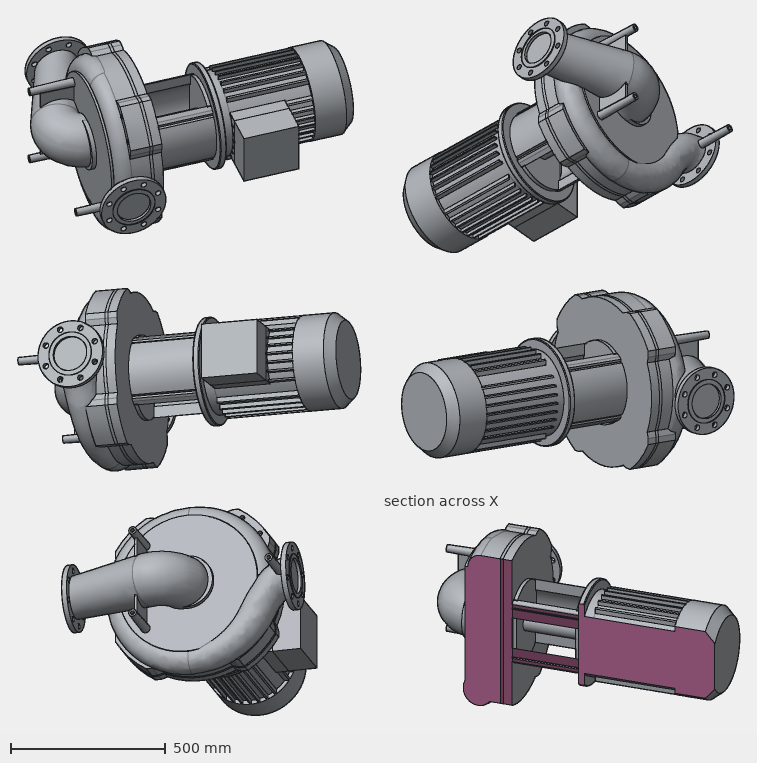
import cadquery as cq
import math


suction_face_x = -405.0
discharge_face_x = 355.0
flange_radius = 110.0
flange_thickness = 17.0
raised_face_radius = 72.0
raised_face_height = 3.0
flange_depth = flange_thickness + raised_face_height
port_radius = 57.0
port_depth = 10.0
pipe_end_depth = 12.0
bolt_circle_radius = 90.0
bolt_hole_radius = 9.0
bolt_count = 8

casing_radius = 278.0
cover_back_y = 128.0
cover_front_y = 97.0
casing_back_y = 87.0
rim_front_y = 21.0
round_radius = 47.0
round_start_radius = casing_radius - round_radius
shoulder_y = rim_front_y - round_radius
plate_face_y = -35.0
plate_edge_radius = 234.0

lug_radius = 302.0
lug_limit = 259.0
lug_shoulder = 135.0
lug_foot_far = 253.0
lug_foot_near = 115.0
lug_hole_radius = 8.0
lug_hole_circle = 282.0
lug_hole_spread = 8.6
lug_hole_depth = 20.0

spiral_end_radius = 246.86
spiral_end_y = 15.0
spiral_start_angle = 90.0
spiral_sections = 7
discharge_pipe_radius = 70.0
discharge_leave_angle = 58.0
discharge_handle = 60.0
discharge_arc_sections = 5
discharge_curve_sections = 4
discharge_growth_exponent = 1.1
discharge_drop_exponent = 0.6

suction_pipe_radius = 70.0
suction_pipe_start_y = -4.0
elbow_tube_radius = 87.5
elbow_bend_radius = 77.5
elbow_centre_x = -90.0
elbow_centre_y = -25.0
collar_radius = 88.0
collar_face_y = -50.0

foot_end_y = -186.0
foot_base_radius = 15.0
foot_end_radius = 12.5
foot_hole_radius = 6.0
foot_hole_depth = 20.0
suction_foot_x = -141.0
suction_foot_z = 142.0
discharge_foot_x = 317.0
rib_thickness = 8.0
rib_end_y = -148.0

lantern_motor_y = 357.0
lantern_disc_radius = 138.0
lantern_disc_thickness = 12.5
lantern_disc_half_width = 90.0
lantern_outer_radius = 140.0
lantern_inner_radius = 112.0
lantern_step_radius = 128.0
lantern_shell_half_height = 86.0
window_half_width = 83.0
edge_bar_outer_x = 105.0
edge_bar_ridge_x = 97.0
edge_bar_low_z = 90.0
edge_bar_outer_z = 97.0
edge_bar_ridge_z = 104.0
edge_bar_high_z = 113.0
shaft_radius = 31.0

motor_flange_radius = 176.0
motor_flange_thickness = 21.5
motor_flange_chamfer = 3.0
motor_body_radius = 142.5
cowl_radius = 155.5
fin_front_y = 410.5
fin_back_y = 689.5
cowl_cone_y = 795.5
motor_end_y = 828.64
motor_end_radius = 128.0
fin_thickness = 5.0
fin_pitch = 28.0
fins_each_side_of_centre = 3

box_inner_x = 106.5
box_joint_x = 154.0
box_outer_x = 249.0
box_front_y = 412.0
box_back_y = 600.0
box_half_height = 90.0

along_y = (0, 1, 0)


def cylinder_along_y(radius, y_start, y_end, x=0.0, z=0.0):
    length = y_end - y_start
    solid = cq.Solid.makeCylinder(radius, length, cq.Vector(x, y_start, z), cq.Vector(*along_y))
    return cq.Workplane(obj=solid)


def box_between(x_range, y_range, z_range):
    size = [high - low for low, high in (x_range, y_range, z_range)]
    corner = cq.Vector(x_range[0], y_range[0], z_range[0])
    return cq.Workplane(obj=cq.Solid.makeBox(*size, corner))


def circle_wire(radius, centre, start_direction, normal):
    """Circle that starts in start_direction, so that the sections of a loft stay untwisted."""
    plane = cq.Plane(centre, start_direction, normal)
    return cq.Workplane(plane).circle(radius).wires().val()


def blend(start, end, fraction):
    return start + (end - start) * fraction



def lug_slab(quadrant, y_start, y_end):
    """Diagonal bolting lug, drawn in the +X +Z quadrant and turned about the shaft axis."""
    arc_middle = lug_radius * math.sqrt(0.5)
    lug_tip = math.sqrt(lug_radius**2 - lug_limit**2)
    return (
        cq.Workplane("XZ", origin=(0, y_start, 0))
        .moveTo(0, 0)
        .lineTo(lug_foot_far, lug_foot_near)
        .lineTo(lug_limit, lug_shoulder)
        .lineTo(lug_limit, lug_tip)
        .threePointArc((arc_middle, arc_middle), (lug_tip, lug_limit))
        .lineTo(lug_shoulder, lug_limit)
        .lineTo(lug_foot_near, lug_foot_far)
        .close()
        .extrude(y_start - y_end)
        .rotate((0, 0, 0), (0, 1, 0), 90 * quadrant)
    )


def lugged_disc(y_start, y_end):
    disc = cylinder_along_y(casing_radius, y_start, y_end)
    for quadrant in range(4):
        disc = disc.union(lug_slab(quadrant, y_start, y_end))
    return disc



def volute_drum():
    drum = lugged_disc(rim_front_y, casing_back_y)
    arc_offset = round_radius * math.sqrt(0.5)
    rounded_front = (
        cq.Workplane("XY")
        .moveTo(0, rim_front_y)
        .lineTo(casing_radius, rim_front_y)
        .threePointArc(
            (round_start_radius + arc_offset, rim_front_y - arc_offset),
            (round_start_radius, shoulder_y),
        )
        .lineTo(0, shoulder_y)
        .close()
        .revolve(360, (0, 0, 0), (0, 1, 0))
    )
    front_plate = cylinder_along_y(plate_edge_radius, plate_face_y, shoulder_y)
    return drum.union(rounded_front).union(front_plate)


def spiral_bulge():
    """Tube that drifts outward from the top of the casing, round the -X side, to the bottom."""
    sections = []
    for index in range(spiral_sections):
        fraction = index / (spiral_sections - 1)
        angle = math.radians(spiral_start_angle + 180 * fraction)
        path_radius = blend(round_start_radius, spiral_end_radius, fraction)
        centre_y = blend(rim_front_y, spiral_end_y, fraction)
        centre = (path_radius * math.cos(angle), centre_y, path_radius * math.sin(angle))
        normal = (-math.sin(angle), 0, math.cos(angle))
        sections.append(circle_wire(round_radius, centre, along_y, normal))
    return cq.Workplane(obj=cq.Solid.makeLoft(sections))


def bezier_point(points, fraction):
    rest = 1 - fraction
    weights = (rest**3, 3 * rest**2 * fraction, 3 * rest * fraction**2, fraction**3)
    return tuple(sum(weight * point[axis] for weight, point in zip(weights, points)) for axis in (0, 1))


def discharge_path():
    """Section centres in X and Z with their tilt: an arc round the shaft, then a curve to the flange."""
    leave_angle = math.radians(discharge_leave_angle)
    stations = []
    for index in range(discharge_arc_sections):
        tilt = leave_angle * index / discharge_arc_sections
        centre = (spiral_end_radius * math.sin(tilt), -spiral_end_radius * math.cos(tilt))
        stations.append((centre, tilt))
    leave_x = spiral_end_radius * math.sin(leave_angle)
    leave_z = -spiral_end_radius * math.cos(leave_angle)
    flange_x = discharge_face_x - flange_depth
    control_points = (
        (leave_x, leave_z),
        (
            leave_x + discharge_handle * math.cos(leave_angle),
            leave_z + discharge_handle * math.sin(leave_angle),
        ),
        (flange_x - discharge_handle, 0),
        (flange_x, 0),
    )
    for index in range(discharge_curve_sections + 1):
        fraction = index / discharge_curve_sections
        stations.append((bezier_point(control_points, fraction), leave_angle * (1 - fraction)))
    stations.append(((discharge_face_x - pipe_end_depth, 0), 0))
    return stations


def discharge_pipe():
    """Widening tube from the bottom of the casing to the flange."""
    stations = discharge_path()
    sections = []
    for index, ((x, z), tilt) in enumerate(stations):
        fraction = index / (len(stations) - 1)
        centre = (x, blend(spiral_end_y, 0, fraction**discharge_drop_exponent), z)
        radius = blend(round_radius, discharge_pipe_radius, fraction**discharge_growth_exponent)
        normal = (math.cos(tilt), 0, math.sin(tilt))
        sections.append(circle_wire(radius, centre, along_y, normal))
    return cq.Workplane(obj=cq.Solid.makeLoft(sections))


def suction_elbow():
    """Conical pipe from the flange, tangent to a tight bend that turns into the casing."""
    start_x = suction_face_x + pipe_end_depth
    run_x = elbow_centre_x - start_x
    run_y = elbow_centre_y - suction_pipe_start_y
    distance = math.hypot(run_x, run_y)
    slope = math.asin(elbow_bend_radius / distance) - math.atan2(run_y, run_x)
    cone_length = math.sqrt(distance**2 - elbow_bend_radius**2)
    overrun = elbow_tube_radius * math.tan(slope)
    widening = (elbow_tube_radius - suction_pipe_radius) / cone_length
    direction = cq.Vector(math.cos(slope), -math.sin(slope), 0)
    cone = cq.Solid.makeCone(
        suction_pipe_radius - widening * overrun,
        elbow_tube_radius,
        cone_length + overrun,
        cq.Vector(start_x, suction_pipe_start_y, 0) - direction * overrun,
        direction,
    )
    kept_reach = 2 * distance
    kept_range = (-kept_reach, kept_reach)
    pipe = cq.Workplane(obj=cone).intersect(box_between((start_x, kept_reach), kept_range, kept_range))
    section_height = math.sqrt(elbow_tube_radius**2 - elbow_bend_radius**2)
    bend = (
        cq.Workplane("XZ", origin=(elbow_centre_x, elbow_centre_y, 0))
        .moveTo(0, -section_height)
        .threePointArc((elbow_bend_radius + elbow_tube_radius, 0), (0, section_height))
        .close()
        .revolve(90 + math.degrees(slope), (0, 1, 0), (0, 0, 0))
    )
    return pipe.union(bend)


def pipe_flange(face_x, inward):
    """Flange with raised face and bolt circle; inward is +1 or -1, from the face to the pump."""
    plate_plane = cq.Plane((face_x, 0, 0), along_y, (inward, 0, 0))
    plate = (
        cq.Workplane(plate_plane)
        .workplane(offset=raised_face_height)
        .circle(flange_radius)
        .extrude(flange_thickness)
    )
    raised_face = cq.Workplane(plate_plane).circle(raised_face_radius).extrude(flange_depth)
    bolt_holes = (
        cq.Workplane(plate_plane)
        .polarArray(bolt_circle_radius, 180 / bolt_count, 360, bolt_count)
        .circle(bolt_hole_radius)
        .extrude(flange_depth)
    )
    port = cq.Workplane(plate_plane).circle(port_radius).extrude(port_depth)
    return plate.union(raised_face).cut(bolt_holes).cut(port)


def drill_lug_holes(casing):
    """Two blind holes in the front face of the +X +Z lug."""
    for side in (-1, 1):
        angle = math.radians(45 + side * lug_hole_spread)
        x = lug_hole_circle * math.cos(angle)
        z = lug_hole_circle * math.sin(angle)
        hole = cylinder_along_y(lug_hole_radius, rim_front_y, rim_front_y + lug_hole_depth, x, z)
        casing = casing.cut(hole)
    return casing


def make_casing():
    casing = drill_lug_holes(volute_drum())
    rib = box_between(
        (suction_foot_x - rib_thickness / 2, suction_foot_x + rib_thickness / 2),
        (rib_end_y, plate_face_y),
        (-suction_foot_z, suction_foot_z),
    )
    collar = cylinder_along_y(collar_radius, collar_face_y, plate_face_y)
    return (
        casing.union(spiral_bulge())
        .union(discharge_pipe())
        .union(suction_elbow())
        .union(collar)
        .union(rib)
        .union(pipe_flange(suction_face_x, 1))
        .union(pipe_flange(discharge_face_x, -1))
    )



def make_foot(x, z, base_y):
    """Slightly tapered post pointing to -Y with a blind hole in its end."""
    length = base_y - foot_end_y
    post = cq.Solid.makeCone(
        foot_base_radius, foot_end_radius, length, cq.Vector(x, base_y, z), cq.Vector(0, -1, 0)
    )
    hole = cylinder_along_y(foot_hole_radius, foot_end_y, foot_end_y + foot_hole_depth, x, z)
    return cq.Workplane(obj=post).cut(hole)



def lantern_column(side):
    """One curved side wall with a bar along each edge of the open windows; side is +1 or -1."""
    ring_range = (cover_back_y, lantern_motor_y)
    outer = cylinder_along_y(lantern_outer_radius, *ring_range)
    step = cylinder_along_y(lantern_step_radius, *ring_range)
    bore = cylinder_along_y(lantern_inner_radius, *ring_range)
    reach = lantern_outer_radius
    side_x = sorted((side * window_half_width, side * reach))
    half_height = lantern_shell_half_height
    shell = outer.intersect(box_between(side_x, ring_range, (-half_height, half_height)))
    web = step.intersect(box_between(side_x, ring_range, (-edge_bar_high_z, edge_bar_high_z)))
    column = shell.union(web).cut(bore)
    return column.union(edge_bar(side, 1)).union(edge_bar(side, -1))


def edge_bar(side_x, side_z):
    profile = [
        (window_half_width, edge_bar_low_z),
        (edge_bar_outer_x, edge_bar_low_z),
        (edge_bar_outer_x, edge_bar_outer_z),
        (edge_bar_ridge_x, edge_bar_ridge_z),
        (window_half_width, edge_bar_high_z),
    ]
    return (
        cq.Workplane("XZ", origin=(0, cover_back_y, 0))
        .polyline([(side_x * x, side_z * z) for x, z in profile])
        .close()
        .extrude(cover_back_y - lantern_motor_y)
    )


def lantern_end_disc(y_start):
    y_end = y_start + lantern_disc_thickness
    disc = cylinder_along_y(lantern_disc_radius, y_start, y_end)
    half_width = lantern_disc_half_width
    reach = lantern_disc_radius
    return disc.intersect(box_between((-half_width, half_width), (y_start, y_end), (-reach, reach)))


def make_lantern():
    return (
        lantern_end_disc(cover_back_y)
        .union(lantern_end_disc(lantern_motor_y - lantern_disc_thickness))
        .union(lantern_column(1))
        .union(lantern_column(-1))
    )



def finned_body():
    """Finned body: crossed full-width slabs trimmed to the cowl diameter, with fins on all four sides."""
    slabs = cylinder_along_y(motor_body_radius, fin_front_y, fin_back_y)
    half = fin_thickness / 2
    y_range = (fin_front_y, fin_back_y)
    full = (-cowl_radius, cowl_radius)
    for index in range(-fins_each_side_of_centre, fins_each_side_of_centre + 1):
        band = (index * fin_pitch - half, index * fin_pitch + half)
        slabs = slabs.union(box_between(band, y_range, full))
        slabs = slabs.union(box_between(full, y_range, band))
    return slabs.intersect(cylinder_along_y(cowl_radius, fin_front_y, fin_back_y))


def make_motor():
    flange_back_y = lantern_motor_y + motor_flange_thickness
    flange = cylinder_along_y(motor_flange_radius, lantern_motor_y, flange_back_y)
    flange = flange.edges().chamfer(motor_flange_chamfer)
    body = cylinder_along_y(motor_body_radius, flange_back_y, fin_front_y)
    cowl = (
        cq.Workplane("XY")
        .moveTo(0, fin_back_y)
        .lineTo(cowl_radius, fin_back_y)
        .lineTo(cowl_radius, cowl_cone_y)
        .lineTo(motor_end_radius, motor_end_y)
        .lineTo(0, motor_end_y)
        .close()
        .revolve(360, (0, 0, 0), (0, 1, 0))
    )
    box_base = terminal_block(box_inner_x, box_joint_x)
    return flange.union(body).union(finned_body()).union(cowl).union(box_base)


def terminal_block(x_start, x_end):
    return box_between(
        (x_start, x_end), (box_front_y, box_back_y), (-box_half_height, box_half_height)
    )



motor = make_motor()
terminal_box = terminal_block(box_joint_x, box_outer_x).cut(motor)
lantern = make_lantern()
shaft = cylinder_along_y(
    shaft_radius, cover_back_y + lantern_disc_thickness, lantern_motor_y - lantern_disc_thickness
)
cover = lugged_disc(cover_front_y, cover_back_y)
joint_ring = lugged_disc(casing_back_y, cover_front_y)
casing = make_casing()

suction_feet = []
for foot_z in (-suction_foot_z, suction_foot_z):
    foot = make_foot(suction_foot_x, foot_z, plate_face_y)
    casing = casing.cut(foot)
    suction_feet.append(foot)
discharge_foot = make_foot(discharge_foot_x, 0, plate_face_y).cut(casing)

result = cq.Compound.makeCompound(
    [
        motor.val(),
        terminal_box.val(),
        lantern.val(),
        shaft.val(),
        cover.val(),
        joint_ring.val(),
        casing.val(),
        *[foot.val() for foot in suction_feet],
        discharge_foot.val(),
    ]
)